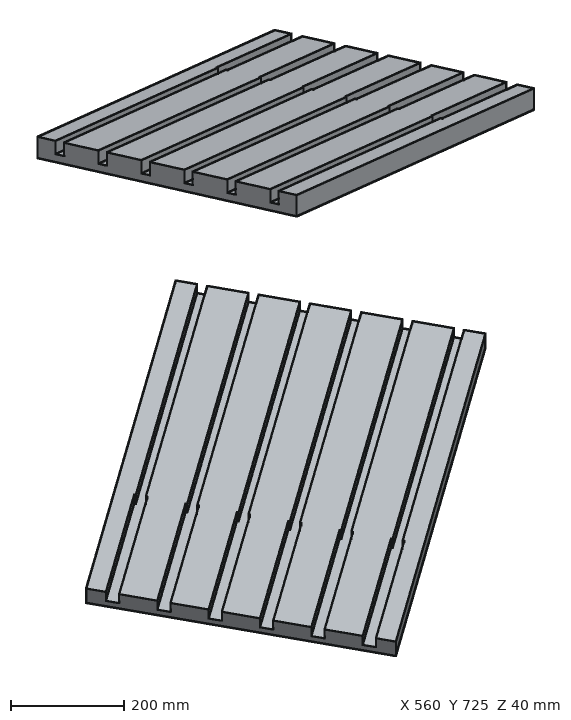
import cadquery as cq

length = 725.0
width = 560.0
thickness = 40.0

slot_count = 6
slot_pitch = 93.0
slot_depth = 25.0
slot_width = 18.0
wide_slot_width = 24.0
wide_slot_length = 229.0

slot_floor = thickness - slot_depth
slot_centres = [(i - (slot_count - 1) / 2) * slot_pitch for i in range(slot_count)]


def slot_cutter(centre_x, cut_width, cut_length):
    """Rectangular channel running in from the +Y end, open at the top face."""
    return (
        cq.Workplane("XY")
        .box(cut_width, cut_length, slot_depth, centered=(True, False, False))
        .translate((centre_x, length / 2 - cut_length, slot_floor))
    )


result = cq.Workplane("XY").box(width, length, thickness, centered=(True, True, False))

for centre_x in slot_centres:
    result = result.cut(slot_cutter(centre_x, slot_width, length))
    result = result.cut(slot_cutter(centre_x, wide_slot_width, wide_slot_length))